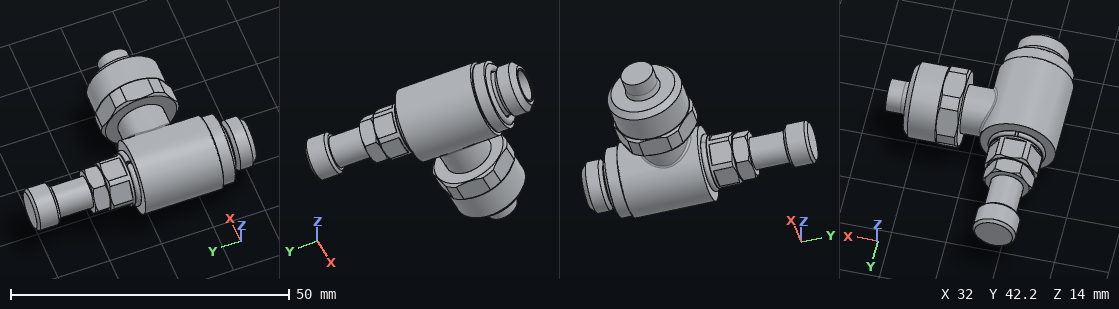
import cadquery as cq
import math


sleeve_d = 14.0
sleeve_start = 7.6
sleeve_end = 22.65
spindle_d = 9.6
branch_y = 16.55
branch_d = 9.0
branch_fillet = 0.42

union_start = 10.95
union_flats = 14.0
union_corner_d = 14.95
union_length = 4.05
union_bevel = 0.4
union_bevel_d = 13.75
cap_d = 14.0
cap_end = 21.1
cap_bevel = 1.0
tube_d = 6.0
tube_root_d = 6.5
tube_taper = 1.15
overall_width = 32.0
tube_end = overall_width - sleeve_d / 2

thread_d = 9.6
thread_bevel = 1.05
thread_full_end = 3.45
neck_d = 8.3
neck_start = thread_full_end + (thread_d - neck_d) / 2
socket_d = 5.7
socket_mouth_d = 6.3
socket_mouth_depth = 0.13
socket_depth = 12.67
port_d = 2.7
port_depth = 2.1

collar_d = 13.0
collar_start = 5.15
collar_end = 7.45
collar_neck_d = 12.6
seal_ring_d = 10.2
seal_section_r = 0.75
seal_y = 5.3

snap_section_r = 0.5
snap_ring_d = 9.55
snap_y = sleeve_end + snap_section_r
snap_gap = 0.5
snap_gap_height = 1.25

body_hex_start = 24.25
body_hex_end = 28.3
body_flats = 9.0
body_corner_d = 9.85
body_bevel = 0.4
body_bevel_d = 8.75
shoulder_clearance = 0.1
shoulder_start = snap_y + snap_section_r + shoulder_clearance

lock_end = 31.17
lock_flats = 8.03
lock_bevel = 0.35
lock_bevel_d = 8.15

stem_d = 6.0
knob_start = 37.7
knob_end = 42.25
knob_d = 8.0
knob_bevel = 0.5


def turned_y(points):
    """Revolve (radius, y) points, closed along the main axis."""
    outline = [(0, points[0][1])] + points + [(0, points[-1][1])]
    return cq.Workplane("XY").polyline(outline).close().revolve(360, (0, 0), (0, 1))


def turned_x(points):
    """Revolve (x, radius) points, closed along the branch axis."""
    outline = [(points[0][0], 0)] + points + [(points[-1][0], 0)]
    branch = cq.Workplane("XY").polyline(outline).close().revolve(360, (0, 0), (1, 0))
    return branch.translate((0, branch_y, 0))


def rod_y(diameter, start, end):
    return turned_y([(diameter / 2, start), (diameter / 2, end)])


def ring_y(center_d, section_r, y):
    """Ring of round section around the main axis."""
    plane = cq.Plane((center_d / 2, y, 0), (-1, 0, 0), (0, 0, 1))
    section = cq.Workplane(plane).circle(section_r)
    return section.revolve(360, (center_d / 2, 0), (center_d / 2, 1))


def corner_diameter(flats):
    return flats / math.cos(math.pi / 6)


def hexagon_y(flats, start, end):
    """Hexagonal bar along Y with flats facing +Z and -Z."""
    plane = cq.Workplane(cq.Plane((0, start, 0), (1, 0, 0), (0, 1, 0)))
    return plane.polygon(6, corner_diameter(flats)).extrude(end - start)


def hexagon_x(flats, start, length):
    """Hexagonal bar on the branch axis with flats facing +Z and -Z."""
    plane = cq.Workplane(cq.Plane((start, branch_y, 0), (0, 1, 0), (1, 0, 0)))
    return plane.polygon(6, corner_diameter(flats)).extrude(length)


def make_union_nut():
    union_end = union_start + union_length
    turned = turned_x([
        (union_start, union_bevel_d / 2),
        (union_start + union_bevel, union_corner_d / 2),
        (union_end - union_bevel, union_corner_d / 2),
        (union_end, union_bevel_d / 2),
    ])
    return hexagon_x(union_flats, union_start, union_length).intersect(turned)


def make_cap_and_tube():
    cap_r = cap_d / 2
    return turned_x([
        (union_start + union_length, cap_r),
        (cap_end - cap_bevel, cap_r),
        (cap_end, cap_r - cap_bevel),
        (cap_end, tube_root_d / 2),
        (cap_end + tube_taper, tube_d / 2),
        (tube_end, tube_d / 2),
    ])


def make_swivel():
    sleeve = rod_y(sleeve_d, sleeve_start, sleeve_end)
    branch = turned_x([(0, branch_d / 2), (union_start, branch_d / 2)])
    body = sleeve.union(branch)
    saddle = cq.selectors.BoxSelector(
        (branch_d / 2, branch_y - branch_d / 2 - branch_fillet, -sleeve_d),
        (sleeve_d / 2, branch_y + branch_d / 2 + branch_fillet, sleeve_d),
    )
    body = body.edges(saddle).fillet(branch_fillet)
    body = body.union(make_union_nut()).union(make_cap_and_tube())
    return body.cut(rod_y(spindle_d, sleeve_start, sleeve_end))


def make_threaded_end():
    """Thread, undercut neck, sealing collar and the shank inside the sleeve."""
    turned = turned_y([
        (thread_d / 2 - thread_bevel, 0),
        (thread_d / 2, thread_bevel),
        (thread_d / 2, thread_full_end),
        (neck_d / 2, neck_start),
        (neck_d / 2, collar_start),
        (collar_d / 2, collar_start),
        (collar_d / 2, collar_end),
        (collar_neck_d / 2, collar_end),
        (collar_neck_d / 2, sleeve_start),
        (spindle_d / 2, sleeve_start),
        (spindle_d / 2, shoulder_start),
        (body_corner_d / 2, shoulder_start),
        (body_corner_d / 2, body_hex_start),
    ])
    return turned.union(ring_y(seal_ring_d, seal_section_r, seal_y))


def make_socket():
    """Blind stepped bore from the threaded end with a small port in its floor."""
    return turned_y([
        (socket_mouth_d / 2, 0),
        (socket_mouth_d / 2, socket_mouth_depth),
        (socket_d / 2, socket_mouth_depth),
        (socket_d / 2, socket_depth),
        (port_d / 2, socket_depth),
        (port_d / 2, socket_depth + port_depth),
    ])


def make_snap_ring():
    ring = ring_y(snap_ring_d, snap_section_r, snap_y)
    gap = cq.Workplane("XY").box(snap_gap, 2 * snap_section_r, snap_gap_height)
    return ring.cut(gap.translate((0, snap_y, snap_ring_d / 2)))


def make_body_hexagon():
    turned = turned_y([
        (body_corner_d / 2, body_hex_start),
        (body_corner_d / 2, body_hex_end - body_bevel),
        (body_bevel_d / 2, body_hex_end),
    ])
    return hexagon_y(body_flats, body_hex_start, body_hex_end).intersect(turned)


def make_locknut():
    corner_r = corner_diameter(lock_flats) / 2
    turned = turned_y([
        (lock_bevel_d / 2, body_hex_end),
        (corner_r, body_hex_end + lock_bevel),
        (corner_r, lock_end - lock_bevel),
        (lock_bevel_d / 2, lock_end),
    ])
    return hexagon_y(lock_flats, body_hex_end, lock_end).intersect(turned)


def make_stem_and_knob():
    return turned_y([
        (stem_d / 2, lock_end),
        (stem_d / 2, knob_start),
        (knob_d / 2 - knob_bevel, knob_start),
        (knob_d / 2, knob_start + knob_bevel),
        (knob_d / 2, knob_end - knob_bevel),
        (knob_d / 2 - knob_bevel, knob_end),
    ])


def make_bolt():
    bolt = make_threaded_end().union(make_snap_ring()).union(make_body_hexagon())
    bolt = bolt.union(make_locknut()).union(make_stem_and_knob())
    return bolt.cut(make_socket())


swivel = make_swivel()
bolt = make_bolt()

result = cq.Compound.makeCompound([swivel.val(), bolt.val()])